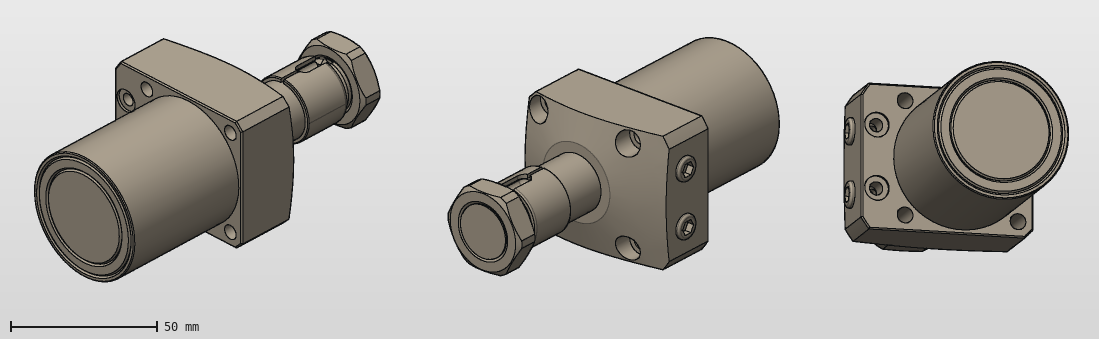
import cadquery as cq
import math


flange_left = 35.5
flange_right = 25.5
flange_height = 51.0
flange_thickness = 28.1
left_corner_dia = 82.9
right_corner_chamfer = 3.0
flange_edge_chamfer = 0.5
back_flat_dia = 30.0
back_slope = 15.0
bolt_hole_dia = 5.5
bolt_hole_spacing = 40.0
bolt_seat_dia = 9.5
bolt_seat_y = 18.0

barrel_dia = 48.0
barrel_length = 51.0
barrel_edge_chamfer = 0.4
ring_groove_dia = 44.0
ring_groove_depth = 0.6
disc_dia = 35.2
disc_length = 10.3
disc_edge_chamfer = 0.6

port_x = -30.0
port_z = 11.0
port_dia = 4.6
port_depth = 9.0
passage_dia = 3.1
passage_offset = 0.6
passage_depth = 12.8
drill_tip_angle = 118.0
port_seat_dia = 8.6
port_seat_depth = 1.0
plug_y = 12.8
plug_dia = 9.4
plug_protrusion = 1.5
plug_depth = 3.0
plug_edge_radius = 0.9
plug_socket_width = 5.0
plug_socket_depth = 2.6

rod_dia = 22.0
rod_shoulder_y = 64.2
rod_shoulder_chamfer = 0.8
neck_dia = 18.2
neck_cone_start_y = 65.4
neck_cone_end_y = 67.6
thread_dia = 20.2

nut_bottom_y = 68.5
nut_top_y = 77.5
nut_width = 30.0
nut_corner_dia = 33.0
nut_face_dia = 29.3
nut_chamfer_angle = 30.0
countersink_dia = 22.1
countersink_angle = 120.0

sleeve_dia = 25.0
sleeve_bottom_y = 45.6
sleeve_top_y = 64.6
sleeve_top_chamfer_length = 0.9
sleeve_top_chamfer_depth = 0.3
sleeve_bottom_chamfer = 0.4
slot_width = 5.5
slot_end_y = 56.0
slit_width = 1.2
groove_dia = 4.2

hex_corner_ratio = 2 / math.sqrt(3)


def turned(half_section):
    """Revolve a closed outline of (radius, y) points about the main axis."""
    return cq.Workplane("XY").polyline(half_section).close().revolve(360, (0, 0, 0), (0, 1, 0))


def cylinder_y(diameter, y_start, y_end, x=0.0, z=0.0):
    """Cylinder parallel to Y between two Y positions."""
    start = cq.Vector(x, y_start, z)
    direction = cq.Vector(0, 1, 0)
    return cq.Workplane(cq.Solid.makeCylinder(diameter / 2, y_end - y_start, start, direction))


def cylinder_x(diameter, x_start, x_end, y, z):
    """Cylinder parallel to X between two X positions."""
    start = cq.Vector(x_start, y, z)
    direction = cq.Vector(1, 0, 0)
    return cq.Workplane(cq.Solid.makeCylinder(diameter / 2, x_end - x_start, start, direction))


def make_flange():
    width = flange_left + flange_right
    middle_x = (flange_right - flange_left) / 2
    block = cq.Workplane("XY").box(width, flange_thickness, flange_height)
    block = block.translate((middle_x, flange_thickness / 2, 0))
    block = block.edges("|Y and >X").chamfer(right_corner_chamfer)
    block = block.intersect(cylinder_y(left_corner_dia, 0, flange_thickness))
    block = block.faces("<Y").chamfer(flange_edge_chamfer)

    flat_radius = back_flat_dia / 2
    rim_radius = left_corner_dia / 2
    rim_y = flange_thickness - (rim_radius - flat_radius) * math.tan(math.radians(back_slope))
    envelope = turned(
        [(0, 0), (rim_radius, 0), (rim_radius, rim_y), (flat_radius, flange_thickness), (0, flange_thickness)]
    )
    block = block.intersect(envelope)

    for x in (-bolt_hole_spacing / 2, bolt_hole_spacing / 2):
        for z in (-bolt_hole_spacing / 2, bolt_hole_spacing / 2):
            block = block.cut(cylinder_y(bolt_hole_dia, 0, flange_thickness, x, z))
            block = block.cut(cylinder_y(bolt_seat_dia, bolt_seat_y, flange_thickness, x, z))
    return block


def make_drill(diameter, depth, x, z):
    """Drill shape with a pointed tip, entering the mounting face along +Y."""
    radius = diameter / 2
    tip_length = radius / math.tan(math.radians(drill_tip_angle / 2))
    tip = cq.Solid.makeCone(radius, 0, tip_length, cq.Vector(x, depth, z), cq.Vector(0, 1, 0))
    return cylinder_y(diameter, 0, depth, x, z).union(cq.Workplane(tip))


def make_port_cutter(z):
    """Drilled port with a shallow seal seat at the mounting face and an off-centre passage."""
    port = make_drill(port_dia, port_depth, port_x, z)
    port = port.union(make_drill(passage_dia, passage_depth, port_x + passage_offset, z))
    return port.union(cylinder_y(port_seat_dia, 0, port_seat_depth, port_x, z))


def make_housing():
    barrel = cylinder_y(barrel_dia, -barrel_length, 0).faces("<Y").chamfer(barrel_edge_chamfer)
    housing = make_flange().union(barrel)

    seat_y = disc_length - barrel_length
    housing = housing.cut(cylinder_y(rod_dia, seat_y, flange_thickness))
    seat_radius = disc_dia / 2
    housing = housing.cut(
        turned(
            [
                (0, -barrel_length),
                (seat_radius + disc_edge_chamfer, -barrel_length),
                (seat_radius, disc_edge_chamfer - barrel_length),
                (seat_radius, seat_y),
                (0, seat_y),
            ]
        )
    )

    groove_radius = ring_groove_dia / 2
    housing = housing.cut(
        turned(
            [
                (groove_radius - ring_groove_depth, -barrel_length),
                (groove_radius, ring_groove_depth - barrel_length),
                (groove_radius + ring_groove_depth, -barrel_length),
            ]
        )
    )

    for z in (-port_z, port_z):
        housing = housing.cut(make_port_cutter(z))
        housing = housing.cut(cylinder_x(plug_dia, -flange_left, plug_depth - flange_left, plug_y, z))
    return housing


def make_closing_disc():
    disc = cylinder_y(disc_dia, -barrel_length, disc_length - barrel_length)
    return disc.faces("<Y").chamfer(disc_edge_chamfer)


def make_plug(z):
    """Screw plug with a rounded rim and a hexagon socket whose corners point along Y."""
    outer_x = -flange_left - plug_protrusion
    plug = cylinder_x(plug_dia, outer_x, plug_depth - flange_left, plug_y, z)
    plug = plug.faces("<X").edges().fillet(plug_edge_radius)
    socket = (
        cq.Workplane("YZ", origin=(outer_x, plug_y, z))
        .polygon(6, plug_socket_width * hex_corner_ratio)
        .extrude(plug_socket_depth)
    )
    return plug.cut(socket)


def make_nut():
    """Thin hexagon nut with flats on +Z and -Z, chamfered and countersunk at both ends."""
    hexagon = (
        cq.Workplane("XZ", origin=(0, nut_top_y, 0))
        .polygon(6, nut_width * hex_corner_ratio)
        .extrude(nut_top_y - nut_bottom_y)
    )
    corner_radius = nut_corner_dia / 2
    face_radius = nut_face_dia / 2
    bore_radius = thread_dia / 2
    mouth_radius = countersink_dia / 2
    chamfer_length = (corner_radius - face_radius) * math.tan(math.radians(nut_chamfer_angle))
    countersink_depth = (mouth_radius - bore_radius) / math.tan(math.radians(countersink_angle / 2))
    envelope = turned(
        [
            (mouth_radius, nut_bottom_y),
            (face_radius, nut_bottom_y),
            (corner_radius, nut_bottom_y + chamfer_length),
            (corner_radius, nut_top_y - chamfer_length),
            (face_radius, nut_top_y),
            (mouth_radius, nut_top_y),
            (bore_radius, nut_top_y - countersink_depth),
            (bore_radius, nut_bottom_y + countersink_depth),
        ]
    )
    return hexagon.intersect(envelope)


def make_plunger():
    rod_radius = rod_dia / 2
    rod_bottom_y = disc_length - barrel_length
    shaft = turned(
        [
            (0, rod_bottom_y),
            (rod_radius, rod_bottom_y),
            (rod_radius, rod_shoulder_y - rod_shoulder_chamfer),
            (rod_radius - rod_shoulder_chamfer, rod_shoulder_y),
            (neck_dia / 2, rod_shoulder_y),
            (neck_dia / 2, neck_cone_start_y),
            (thread_dia / 2, neck_cone_end_y),
            (thread_dia / 2, nut_top_y),
            (0, nut_top_y),
        ]
    )

    groove = cylinder_y(groove_dia, slot_end_y, nut_bottom_y, z=rod_radius)
    ball = cq.Workplane("XY").sphere(groove_dia / 2).translate((0, slot_end_y, rod_radius))
    return shaft.cut(groove).cut(ball)


def make_sleeve():
    """Sleeve with a round-ended slot at the top that runs out into a narrow slit."""
    inner_radius = rod_dia / 2
    outer_radius = sleeve_dia / 2
    sleeve = turned(
        [
            (inner_radius, sleeve_bottom_y),
            (outer_radius - sleeve_bottom_chamfer, sleeve_bottom_y),
            (outer_radius, sleeve_bottom_y + sleeve_bottom_chamfer),
            (outer_radius, sleeve_top_y - sleeve_top_chamfer_length),
            (outer_radius - sleeve_top_chamfer_depth, sleeve_top_y),
            (inner_radius, sleeve_top_y),
        ]
    )

    slot_length = sleeve_top_y - slot_end_y
    slot = cq.Workplane("XY").center(0, slot_end_y + slot_length / 2).rect(slot_width, slot_length)
    slot = slot.extrude(sleeve_dia / 2)
    slot_end = cq.Workplane("XY").center(0, slot_end_y).circle(slot_width / 2).extrude(sleeve_dia / 2)
    slit_length = slot_end_y - sleeve_bottom_y
    slit = cq.Workplane("XY").center(0, sleeve_bottom_y + slit_length / 2).rect(slit_width, slit_length)
    slit = slit.extrude(sleeve_dia / 2)
    return sleeve.cut(slot).cut(slot_end).cut(slit)


housing = make_housing()
closing_disc = make_closing_disc()
plunger = make_plunger()
nut = make_nut()
sleeve = make_sleeve()
plugs = [make_plug(z) for z in (-port_z, port_z)]

result = cq.Compound.makeCompound(
    [
        housing.val(),
        closing_disc.val(),
        plunger.val(),
        nut.val(),
        sleeve.val(),
        *[plug.val() for plug in plugs],
    ]
)